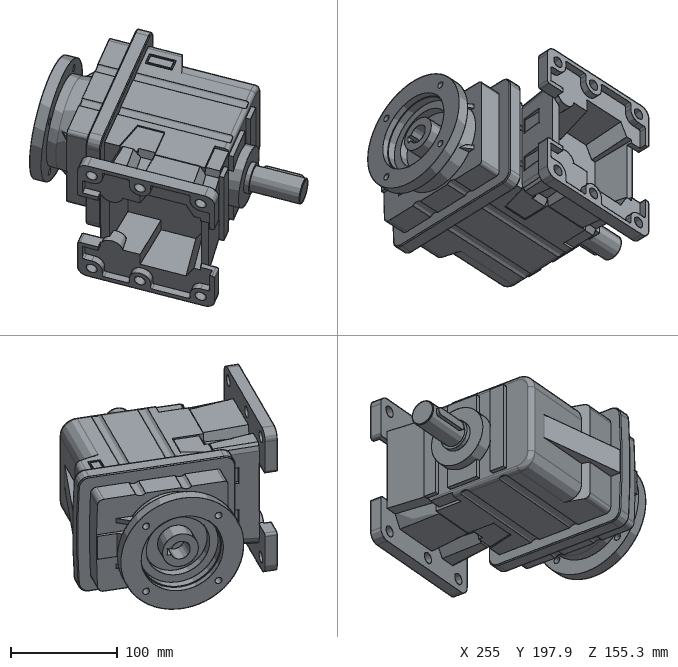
import cadquery as cq
import math


FLANGE_DIA = 120.0
FLANGE_THICK = 11.5
NECK_DIA = 90.0
NECK_END = 21.0
CONE_END_DIA = 94.0
INPUT_HOLE_DIA = 6.6
INPUT_BOLT_CIRCLE = 100.0
INPUT_BORES = ((80.0, 6.5), (78.0, 14.3), (62.0, 23.0))
HUB_DIA = 35.0
HUB_RECESS = 6.0
HUB_BORE_DIA = 18.9
HUB_BORE_DEPTH = 25.5
HUB_KEYWAY_WIDTH = 6.6
HUB_KEYWAY_REACH = 12.8

BOX_START = 35.2
BOX_HALF = 50.0
BOX_LOW = -55.0
BOX_HIGH = 72.2
BOX_BOW = 1.3
BOX_CORNER = 3.8
BOX_HIGH_CORNER = 6.0
PAD_HALF = 12.5
PAD_START = 32.1
GUSSET_Z = 24.7
GUSSET_WIDTH = 4.5
GUSSET_START = 23.0
GUSSET_FOOT = 35.7
GUSSET_HIGH = 54.3
GUSSET_LOW = -45.0

JOINT_START = 58.6
JOINT_END = 73.2
JOINT_HALF = 62.2
JOINT_LOW = -69.0
JOINT_HIGH = 83.6
JOINT_BOW = 2.3
JOINT_CORNER = 10.7
JOINT_CHAMFER = 1.0

BODY_END = 186.7
BODY_HALF = 51.5
BODY_LOW = -56.5
BODY_HIGH = 65.5
BODY_SHOULDER = 16.5
BODY_END_ROUND = 4.8
HUMP_END = 105.8
HUMP_HIGH = BOX_HIGH + BOX_BOW
HUMP_SLOPE_END = 113.5
HUMP_ROUND = 5.5
FIN_END = 167.5
FIN_HIGH = 84.5
GROOVE_END = 184.5
GROOVE_YS = (30.3, -14.8)
GROOVE_WIDTH = 9.7
GROOVE_DEPTH = 2.0
UNDER_GROOVE_Z = 21.7
UNDER_GROOVE_WIDTH = 5.5
UNDER_GROOVE_DEPTH = 1.5
LABEL_DEPTH = 1.5
LABEL_LOW_START = 87.7
LABEL_HIGH_START = 95.5
LABEL_END = 122.5
LABEL_HIGH = -26.5
CORNER_POCKET_START = 172.5
CORNER_POCKET_HIGH = -27.8
CORNER_POCKET_DEPTH = 3.0
RELIEF_START = 105.5
RELIEF_RISE = 5.0
RELIEF_FLOOR = 42.0
BADGE_X = (77.3, 103.5)
BADGE_Y = (49.7, 61.7)
BADGE_FRAME = 1.5
BADGE_DEPTH = 0.8

OUTPUT_Y = -11.2
END_PLATE_END = 191.2
END_PLATE_HIGH = 36.0
END_PLATE_HALF = 44.5
END_GAPS = ((4.5, 20.5), (-43.4, -29.0))
BEARING_DIA = 60.0
BEARING_END = 200.5
COLLAR_DIA = 30.0
COLLAR_END = 205.3
SHAFT_DIA = 25.0
SHAFT_END = 255.0
SHAFT_CHAMFER = 0.8
KEY_START = 210.5
KEY_END = 250.0
KEY_WIDTH = 8.0
KEY_RISE = 3.0
KEY_END_ROUND = 3.8

FOOT_START = 65.3
FOOT_END = 201.0
FOOT_HALF = 77.65
FOOT_INNER = 33.0
FOOT_TOP = -100.0
FOOT_WEB = -105.0
FOOT_BOTTOM = -112.0
FOOT_CORNER = 10.0
FOOT_INNER_CORNER = 2.5
RIM = 4.8
FOOT_HOLE_DIA = 11.0
FOOT_HOLE_XS = (79.3, 127.0, 187.2)
FOOT_HOLE_Z = 65.4
FOOT_BOSS_DIA = 21.0
LUMP_X = 96.6
LUMP_Z = 38.5
LUMP_DIA = 22.2
RIM_GAP_START = 85.7
LUMP_TOP = -91.8
POCKET_ROUND = 1.8
CAVITY_FLOOR = -63.8
WINDOW_Z = 22.7
WINDOW_WIDTH = 16.8
WINDOW_LINTEL = 2.5
WINDOW_LOW = -80.5
WINDOW_FLOOR = 89.2


def block(x0, x1, y0, y1, z0, z1):
    return cq.Workplane("XY").box(x1 - x0, y1 - y0, z1 - z0, centered=False).translate((x0, y0, z0))


def rod(diameter, x0, x1, y=0, z=0):
    return cq.Workplane("YZ", origin=(x0, y, z)).circle(diameter / 2).extrude(x1 - x0)


def post(diameter, x, z, y0, y1):
    """Cylinder along Y."""
    return cq.Workplane("XZ", origin=(x, y0, z)).circle(diameter / 2).extrude(y0 - y1)


def both_sides(solid):
    """The solid together with its mirror image across Z = 0."""
    return solid.union(solid.mirror("XY"))


def bowed_slab(x0, x1, low, high, bow, half):
    """Rectangular slab whose +Y side bulges slightly in the middle."""
    return (
        cq.Workplane("YZ", origin=(x0, 0, 0))
        .moveTo(high, -half)
        .lineTo(low, -half)
        .lineTo(low, half)
        .lineTo(high, half)
        .threePointArc((high + bow, 0), (high, -half))
        .close()
        .extrude(x1 - x0)
    )


def groove(width, depth, x0, x1, y, z):
    """Round-bottomed cutter along X, sunk by depth below a face at height z."""
    radius = (width ** 2 / 4 + depth ** 2) / (2 * depth)
    return rod(2 * radius, x0, x1, y, z + radius - depth)


def mirrored_outline(upper):
    """Closed outline from its +Z half, listed from low X to high X."""
    return upper + [(x, -z) for x, z in reversed(upper)]


def drafted(outline_a, y_a, outline_b, y_b):
    """Straight-sided solid between two outlines lying at two heights along Y."""
    return (
        cq.Workplane("XZ", origin=(0, y_a, 0))
        .polyline(mirrored_outline(outline_a))
        .close()
        .workplane(offset=y_a - y_b)
        .polyline(mirrored_outline(outline_b))
        .close()
        .loft(ruled=True)
    )


def gusset(reach):
    foot = math.copysign(GUSSET_FOOT, reach)
    rib = (
        cq.Workplane("XY", origin=(0, 0, GUSSET_Z - GUSSET_WIDTH / 2))
        .polyline([(GUSSET_START, foot), (BOX_START, reach), (BOX_START, 0), (GUSSET_START, 0)])
        .close()
        .extrude(GUSSET_WIDTH)
    )
    return both_sides(rib)


def input_side():
    solid = rod(FLANGE_DIA, 0, FLANGE_THICK).union(rod(NECK_DIA, 0, NECK_END))
    cone = (
        cq.Workplane("YZ", origin=(NECK_END, 0, 0))
        .circle(NECK_DIA / 2)
        .workplane(offset=BOX_START - NECK_END)
        .circle(CONE_END_DIA / 2)
        .loft()
    )
    box = bowed_slab(BOX_START, JOINT_START, BOX_LOW, BOX_HIGH, BOX_BOW, BOX_HALF)
    box = box.edges("|X").edges("<Y").fillet(BOX_CORNER)
    box = box.edges("|X").edges(">Y").fillet(BOX_HIGH_CORNER)
    for y in GROOVE_YS:
        cutter = groove(GROOVE_WIDTH, GROOVE_DEPTH, BOX_START, JOINT_START, y, BOX_HALF)
        box = box.cut(both_sides(cutter))
    wedge = (
        cq.Workplane("XY", origin=(0, 0, -PAD_HALF))
        .polyline([
            (GUSSET_START, GUSSET_FOOT),
            (PAD_START, GUSSET_HIGH),
            (PAD_START, HUMP_HIGH),
            (BOX_START, HUMP_HIGH),
            (BOX_START, 0),
            (GUSSET_START, 0),
        ])
        .close()
        .extrude(2 * PAD_HALF)
    )
    solid = solid.union(cone).union(box).union(wedge)
    solid = solid.union(gusset(GUSSET_HIGH)).union(gusset(GUSSET_LOW))

    deepest = INPUT_BORES[-1][1]
    for diameter, depth in INPUT_BORES:
        solid = solid.cut(rod(diameter, 0, depth))
    solid = solid.union(rod(HUB_DIA, HUB_RECESS, deepest))
    solid = solid.cut(rod(HUB_BORE_DIA, 0, HUB_BORE_DEPTH))
    key_half = HUB_KEYWAY_WIDTH / 2
    solid = solid.cut(block(0, HUB_BORE_DEPTH, 0, HUB_KEYWAY_REACH, -key_half, key_half))
    hole_offset = INPUT_BOLT_CIRCLE / 2 * math.cos(math.radians(45))
    for y in (-hole_offset, hole_offset):
        for z in (-hole_offset, hole_offset):
            solid = solid.cut(rod(INPUT_HOLE_DIA, 0, FLANGE_THICK, y, z))
    return solid


def joint_flange():
    slab = bowed_slab(JOINT_START, JOINT_END, JOINT_LOW, JOINT_HIGH, JOINT_BOW, JOINT_HALF)
    return slab.edges("|X").fillet(JOINT_CORNER).faces("<X or >X").chamfer(JOINT_CHAMFER)


def badge():
    """Shallow rectangular frame sunk into the +Z face."""
    x0, x1 = BADGE_X
    y0, y1 = BADGE_Y
    floor = BODY_HALF - BADGE_DEPTH
    outer = block(x0, x1, y0, y1, floor, BODY_HALF)
    inner = block(x0 + BADGE_FRAME, x1 - BADGE_FRAME, y0 + BADGE_FRAME, y1 - BADGE_FRAME, floor, BODY_HALF)
    return outer.cut(inner)


def label_pocket():
    """Shallow name plate pocket with one slanted end, beside the foot."""
    return (
        cq.Workplane("XY", origin=(0, 0, BODY_HALF - LABEL_DEPTH))
        .polyline([
            (LABEL_LOW_START, BODY_LOW),
            (LABEL_HIGH_START, LABEL_HIGH),
            (LABEL_END, LABEL_HIGH),
            (LABEL_END, BODY_LOW),
        ])
        .close()
        .extrude(LABEL_DEPTH)
    )


def bolt_relief(x0, x1):
    """Sloped relief at the lower edge of the housing, above a foot bolt."""
    return (
        cq.Workplane("YZ", origin=(x0, 0, 0))
        .polyline([(BODY_LOW + RELIEF_RISE, BODY_HALF), (BODY_LOW, BODY_HALF), (BODY_LOW, RELIEF_FLOOR)])
        .close()
        .extrude(x1 - x0)
    )


def housing():
    body = block(JOINT_END, BODY_END, BODY_LOW, BODY_HIGH, -BODY_HALF, BODY_HALF)
    body = body.edges("|X and >Y").fillet(BODY_SHOULDER)
    body = body.faces(">X").edges(">Y or >Z or <Z").fillet(BODY_END_ROUND)
    hump = (
        cq.Workplane("XY", origin=(0, 0, -BODY_HALF))
        .polyline([
            (JOINT_END, HUMP_HIGH),
            (HUMP_END, HUMP_HIGH),
            (HUMP_SLOPE_END, BODY_HIGH - BODY_SHOULDER),
            (JOINT_END, BODY_HIGH - BODY_SHOULDER),
        ])
        .close()
        .extrude(2 * BODY_HALF)
        .edges("|X and >Y")
        .fillet(HUMP_ROUND)
    )
    fin = (
        cq.Workplane("XY", origin=(0, 0, -PAD_HALF))
        .polyline([(JOINT_END, FIN_HIGH), (FIN_END, BODY_HIGH), (JOINT_END, BODY_HIGH)])
        .close()
        .extrude(2 * PAD_HALF)
    )
    body = body.union(hump).union(fin)
    for y in GROOVE_YS:
        cutter = groove(GROOVE_WIDTH, GROOVE_DEPTH, JOINT_END, GROOVE_END, y, BODY_HALF)
        body = body.cut(both_sides(cutter))
    for z in (-UNDER_GROOVE_Z, UNDER_GROOVE_Z):
        cutter = groove(UNDER_GROOVE_WIDTH, UNDER_GROOVE_DEPTH, JOINT_END, BODY_END, z, -BODY_LOW)
        body = body.cut(cutter.rotate((0, 0, 0), (1, 0, 0), 90))
    body = body.cut(badge())
    body = body.cut(both_sides(label_pocket()))
    body = body.cut(both_sides(bolt_relief(RELIEF_START, LABEL_END)))
    corner_floor = BODY_HALF - CORNER_POCKET_DEPTH
    corner = block(CORNER_POCKET_START, BODY_END, BODY_LOW, CORNER_POCKET_HIGH, corner_floor, BODY_HALF)
    corner = corner.union(bolt_relief(CORNER_POCKET_START, BODY_END))
    return body.cut(both_sides(corner))


def output_side():
    plate = block(BODY_END, END_PLATE_END, BODY_LOW, END_PLATE_HIGH, -END_PLATE_HALF, END_PLATE_HALF)
    for y0, y1 in END_GAPS:
        gap = block(BODY_END, END_PLATE_END, y0, y1, -END_PLATE_HALF, END_PLATE_HALF)
        plate = plate.cut(gap)
    bearing = rod(BEARING_DIA, BODY_END, BEARING_END, OUTPUT_Y)
    collar = rod(COLLAR_DIA, BEARING_END, COLLAR_END, OUTPUT_Y)
    shaft = rod(SHAFT_DIA, COLLAR_END, SHAFT_END, OUTPUT_Y).faces(">X").chamfer(SHAFT_CHAMFER)
    key_top = OUTPUT_Y + SHAFT_DIA / 2 + KEY_RISE
    key = block(KEY_START, KEY_END, OUTPUT_Y, key_top, -KEY_WIDTH / 2, KEY_WIDTH / 2)
    key = key.edges("|Y").fillet(KEY_END_ROUND)
    return plate.union(bearing).union(collar).union(shaft).union(key)


def pedestal():
    upper = [(87.7, 45.1), (89.0, 49.7), (91.5, 52.3), (101.7, 52.3), (109.1, 43.4), (120.9, 43.4), (123.2, 52.3),
             (167.8, 52.3), (173.5, 42.0), (186.7, 42.0)]
    lower = [(84.2, 47.5), (85.5, 52.3), (88.0, 55.0), (104.5, 55.0), (112.0, 43.4), (117.8, 43.4), (120.9, 55.0),
             (170.8, 55.0), (178.5, 42.0), (191.0, 42.0)]
    solid = drafted(upper, BODY_LOW, lower, FOOT_TOP)
    half = WINDOW_WIDTH / 2
    for z in (-WINDOW_Z, WINDOW_Z):
        solid = solid.cut(block(0, WINDOW_FLOOR, WINDOW_LOW, BODY_LOW - WINDOW_LINTEL, z - half, z + half))
    return solid


def foot_pad():
    """One half of the foot plate with its rim and bolt bosses (at +Z)."""
    pad = block(FOOT_START, FOOT_END, FOOT_BOTTOM, FOOT_TOP, FOOT_INNER, FOOT_HALF)
    pad = pad.edges("|Y and >Z").fillet(FOOT_CORNER).edges("|Y and <Z").fillet(FOOT_INNER_CORNER)
    x0 = FOOT_START + RIM
    x1 = FOOT_END - RIM
    pocket = block(x0, x1, FOOT_BOTTOM, FOOT_WEB, FOOT_INNER + RIM, FOOT_HALF - RIM)
    gap = block(RIM_GAP_START, x1, FOOT_BOTTOM, FOOT_WEB, FOOT_INNER, FOOT_INNER + RIM)
    pocket = pocket.union(gap)
    radius = FOOT_BOSS_DIA / 2
    for x in FOOT_HOLE_XS:
        pocket = pocket.cut(post(FOOT_BOSS_DIA, x, FOOT_HOLE_Z, FOOT_WEB, FOOT_BOTTOM))
        pocket = pocket.cut(block(x - radius, x + radius, FOOT_BOTTOM, FOOT_WEB, FOOT_HOLE_Z, FOOT_HALF))
    boss_edge = FOOT_HOLE_Z - radius
    for x, plate_end in ((FOOT_HOLE_XS[0], FOOT_START), (FOOT_HOLE_XS[-1], FOOT_END)):
        near, far = sorted((x, plate_end))
        pocket = pocket.cut(block(near, far, FOOT_BOTTOM, FOOT_WEB, boss_edge, FOOT_HALF))
    pocket = pocket.edges("|Y").edges("<X or >X").edges(">Z").fillet(POCKET_ROUND)
    pocket = pocket.edges("|Y").edges(">Z").fillet(POCKET_ROUND)
    pad = pad.cut(pocket)
    for x in FOOT_HOLE_XS:
        pad = pad.cut(post(FOOT_HOLE_DIA, x, FOOT_HOLE_Z, FOOT_TOP, FOOT_BOTTOM))
    return pad


def cavity():
    floor = [(98.7, 29.5), (131.5, 29.5), (131.5, 43.0), (166.0, 43.0), (173.7, 29.5), (178.0, 29.5)]
    mouth = [(92.0, 36.5), (125.0, 36.5), (125.0, 50.2), (170.3, 50.2), (178.2, 36.5), (184.5, 36.5)]
    return drafted(floor, CAVITY_FLOOR, mouth, FOOT_WEB)


foot = pedestal().union(both_sides(foot_pad())).cut(cavity())
lump = post(LUMP_DIA, LUMP_X, LUMP_Z, LUMP_TOP, FOOT_WEB)
foot = foot.union(both_sides(lump))

result = input_side().union(joint_flange()).union(housing()).union(output_side()).union(foot)